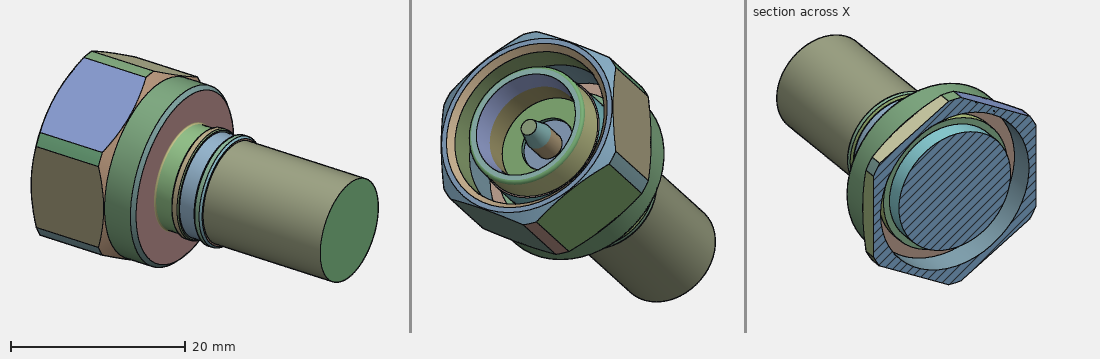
import cadquery as cq

overall_length = 36.6

nut_front = 0.25
hex_rear = 10.25
across_flats = 22.0
across_corners = 24.5
corner_radius = across_corners / 2
hex_end_radius = 10.9
hex_bevel = 0.77
collar_rear = 14.25
collar_radius = 10.9
collar_chamfer = 0.48

mouth_radius = 10.3
bore_radius = 9.55
mouth_depth = 0.95
relief_start = 4.75
relief_radius = 10.0
bore_floor = 10.98

sleeve_radius = 7.4
lip_round = 0.4
root_step_start = 3.65
root_radius = 7.58
flange_start = 9.9
flange_radius = 8.38

socket_mouth_radius = 6.35
socket_radius = 5.8
socket_taper_depth = 2.4
socket_floor = 5.6
recess_radius = 3.25
recess_depth = 0.55

pin_tip = 0.77
pin_tip_radius = 1.0
pin_radius = 1.6
pin_taper_end = 3.3

neck_radius = 6.37
neck_fillet = 0.2
tube_radius = 6.22
ring_radius = 6.7
first_ring_start = 16.6
first_ring_width = 0.95
first_ring_chamfer = 0.15
second_ring_start = 19.58
second_ring_width = 1.1
second_ring_chamfer = 0.25


def cylinder(start, end, radius):
    """Cylinder about the X axis between two stations."""
    return cq.Workplane("YZ", origin=(start, 0, 0)).circle(radius).extrude(end - start)


def revolve_profile(points):
    """Revolve a closed (x, radius) outline about the X axis."""
    return cq.Workplane("XY").polyline(points).close().revolve(360, (0, 0, 0), (1, 0, 0))


def make_nut():
    hexagon = (
        cq.Workplane("YZ", origin=(nut_front, 0, 0))
        .polygon(6, across_flats, circumscribed=True)
        .extrude(hex_rear - nut_front)
    )
    corner_trim = revolve_profile([
        (nut_front, 0),
        (nut_front, hex_end_radius),
        (nut_front + hex_bevel, corner_radius),
        (hex_rear - hex_bevel, corner_radius),
        (hex_rear, hex_end_radius),
        (hex_rear, 0),
    ])
    collar = cylinder(hex_rear, collar_rear, collar_radius).faces(">X").chamfer(collar_chamfer)
    bore = revolve_profile([
        (nut_front, 0),
        (nut_front, mouth_radius),
        (mouth_depth, bore_radius),
        (relief_start, bore_radius),
        (relief_start, relief_radius),
        (bore_floor, relief_radius),
        (bore_floor, 0),
    ])
    return hexagon.intersect(corner_trim).union(collar).cut(bore)


def make_sleeve():
    sleeve = cylinder(0, bore_floor, sleeve_radius).faces("<X").edges().fillet(lip_round)
    root = cylinder(root_step_start, bore_floor, root_radius)
    flange = cylinder(flange_start, bore_floor, flange_radius)
    socket = revolve_profile([
        (0, 0),
        (0, socket_mouth_radius),
        (socket_taper_depth, socket_radius),
        (socket_floor, socket_radius),
        (socket_floor, 0),
    ])
    recess = cylinder(socket_floor, socket_floor + recess_depth, recess_radius)
    return sleeve.union(root).union(flange).cut(socket).cut(recess)


def make_pin():
    pin_root = socket_floor + recess_depth
    return revolve_profile([
        (pin_tip, 0),
        (pin_tip, pin_tip_radius),
        (pin_taper_end, pin_radius),
        (pin_root, pin_radius),
        (pin_root, 0),
    ])


def make_ring(start, width, chamfer):
    return cylinder(start, start + width, ring_radius).edges().chamfer(chamfer)


def make_rear_body():
    neck = (
        cq.Workplane("XY")
        .moveTo(collar_rear, 0)
        .lineTo(collar_rear, neck_radius + neck_fillet)
        .radiusArc((collar_rear + neck_fillet, neck_radius), -neck_fillet)
        .lineTo(second_ring_start, neck_radius)
        .lineTo(second_ring_start, 0)
        .close()
        .revolve(360, (0, 0, 0), (1, 0, 0))
    )
    tube = cylinder(second_ring_start, overall_length, tube_radius)
    first_ring = make_ring(first_ring_start, first_ring_width, first_ring_chamfer)
    second_ring = make_ring(second_ring_start, second_ring_width, second_ring_chamfer)
    return neck.union(tube).union(first_ring).union(second_ring)


result = make_nut().union(make_sleeve()).union(make_pin()).union(make_rear_body())